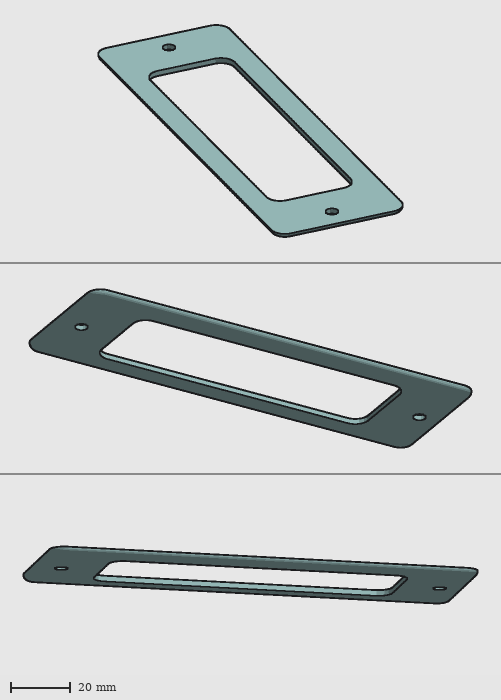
import cadquery as cq

plate_length = 147.0
plate_width = 48.0
thickness = 2.0
plate_corner_radius = 5.0
rim_land = 0.01
edge_radius = thickness - rim_land

window_length = 102.5
window_width = 31.0
window_corner_radius = 5.0

hole_diameter = 4.3
hole_spacing = 130.0


def rounded_block(length, width, corner_radius):
    """Block of the plate's thickness on Z = 0, centred on the Z axis, with rounded vertical corners."""
    return (
        cq.Workplane("XY")
        .rect(length, width)
        .extrude(thickness)
        .edges("|Z")
        .fillet(corner_radius)
    )


def make_plate():
    """Plate whose outer rim is rounded over on the underside."""
    blank = rounded_block(plate_length, plate_width, plate_corner_radius)
    return blank.faces("<Z").edges().fillet(edge_radius)


def cut_window(body):
    """Cut the central rounded window through the plate."""
    return body.cut(rounded_block(window_length, window_width, window_corner_radius))


def cut_screw_holes(body):
    """Drill one through hole near each end of the plate."""
    holes = (
        cq.Workplane("XY")
        .rarray(hole_spacing, 1, 2, 1)
        .circle(hole_diameter / 2)
        .extrude(thickness)
    )
    return body.cut(holes)


result = cut_screw_holes(cut_window(make_plate()))